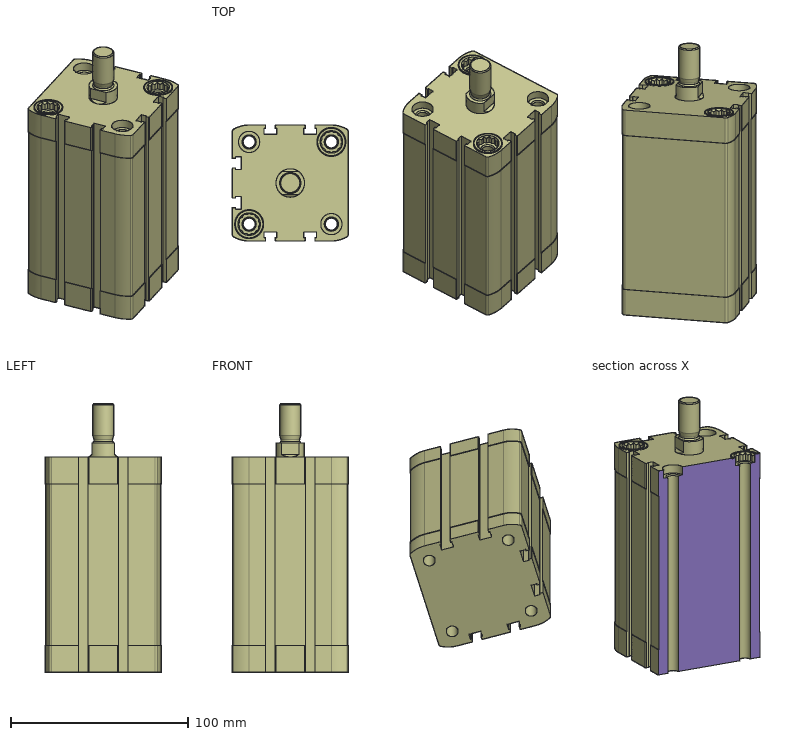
import cadquery as cq
import math


width = 65.5
housing_height = 121.4
cap_height = 15.1
tube_inset = 0.3
corner_radius = 17.9
corner_blend_radius = 1.7

slot_offset = 11.2
slot_depth = 5.1
slot_width = 7.0
slot_mouth_width = 5.5
slot_lip = 2.0
pad_chamfer = 0.5

hole_offset = 23.2
hole_diameter = 6.7
hole_mouth_diameter = 8.0
countersink_depth = (hole_mouth_diameter - hole_diameter) / 2
counterbore_diameter = 12.0
recess_depth = 4.8

collar_diameter = 16.4
collar_rim_diameter = 15.5
socket_mouth_diameter = 12.7
socket_mouth_depth = 1.8
socket_flats = 10.6

total_height = 151.4
rod_diameter = 16.0
rod_shoulder_height = 7.9
wrench_flats = 12.7
flat_runout = 1.4
thread_diameter = 12.0
thread_length = 17.9
tip_chamfer = 0.6
neck_diameter = 10.6
neck_base_height = 0.9
neck_height = 0.9
rod_bore_depth = cap_height


def cone_frustum(top_z, top_diameter, bottom_diameter, height):
    """Round body about the Z axis that reaches down from top_z."""
    bottom_centre = cq.Vector(0, 0, top_z - height)
    cone = cq.Solid.makeCone(bottom_diameter / 2, top_diameter / 2, height, bottom_centre)
    return cq.Workplane("XY").add(cone)


def square_block(inset, bottom_z, height):
    """Square prism whose +Y and -Y faces curve away towards the corners."""
    half = width / 2 - inset
    radius = corner_radius - inset
    arc_centre_y = width / 2 - corner_radius

    def arc_point(x):
        return x, arc_centre_y + math.sqrt(radius**2 - (x - hole_offset) ** 2)

    mid_x, mid_y = arc_point((hole_offset + half) / 2)
    end_x, end_y = arc_point(half)
    block = (
        cq.Workplane("XY")
        .workplane(offset=bottom_z)
        .moveTo(-hole_offset, half)
        .lineTo(hole_offset, half)
        .threePointArc((mid_x, mid_y), (end_x, end_y))
        .lineTo(end_x, -end_y)
        .threePointArc((mid_x, -mid_y), (hole_offset, -half))
        .lineTo(-hole_offset, -half)
        .threePointArc((-mid_x, -mid_y), (-end_x, -end_y))
        .lineTo(-end_x, end_y)
        .threePointArc((-mid_x, mid_y), (-hole_offset, half))
        .close()
        .extrude(height)
    )
    side_faces = block.faces("<X or >X")
    return side_faces.edges("|Z").fillet(corner_blend_radius - inset)


def slot_cutter():
    """Full-height T-shaped cutter for one slot in the +X face, centred on y = 0."""
    floor_x = width / 2 - slot_depth
    mouth = cq.Workplane("XY").box(
        slot_depth, slot_mouth_width, housing_height, centered=(False, True, False)
    )
    undercut = cq.Workplane("XY").box(
        slot_depth - slot_lip, slot_width, housing_height, centered=(False, True, False)
    )
    return mouth.union(undercut).translate((floor_x, 0, 0))


def pad_chamfer_cutter(bottom_z):
    """Triangular prism for the +Y edge of an end cap's middle pad in the +X face."""
    pad_edge_y = slot_offset - slot_mouth_width / 2
    return (
        cq.Workplane("XY")
        .workplane(offset=bottom_z)
        .moveTo(width / 2, pad_edge_y)
        .lineTo(width / 2 - pad_chamfer, pad_edge_y)
        .lineTo(width / 2, pad_edge_y - pad_chamfer)
        .close()
        .extrude(cap_height)
    )


def plain_corner_cutter():
    """Counterbored through hole with a countersunk mouth, on the Z axis."""
    floor_z = housing_height - recess_depth
    hole = cq.Workplane("XY").circle(hole_diameter / 2).extrude(housing_height)
    countersink = cone_frustum(floor_z, hole_mouth_diameter, hole_diameter, countersink_depth)
    counterbore = cq.Workplane("XY").workplane(offset=floor_z)
    counterbore = counterbore.circle(counterbore_diameter / 2).extrude(recess_depth)
    return hole.union(countersink).union(counterbore)


def collar_corner_cutter():
    """Through hole under a twelve-point socket, with a V groove around the collar, on the Z axis."""
    floor_z = housing_height - recess_depth
    groove_depth = (collar_diameter - collar_rim_diameter) / 2

    cutter = cq.Workplane("XY").circle(hole_diameter / 2).extrude(housing_height)
    cutter = cutter.union(cone_frustum(floor_z, hole_mouth_diameter, hole_diameter, countersink_depth))
    cutter = cutter.union(cone_frustum(housing_height, socket_mouth_diameter, socket_flats, socket_mouth_depth))
    corner_diameter = socket_flats / math.cos(math.radians(30))
    hexagon = cq.Workplane("XY").workplane(offset=floor_z).polygon(6, corner_diameter)
    hexagon = hexagon.extrude(recess_depth)
    for turn in (0, 30):
        cutter = cutter.union(hexagon.rotate((0, 0, 0), (0, 0, 1), turn))

    groove = cq.Workplane("XY").workplane(offset=housing_height - groove_depth)
    groove = groove.circle(collar_diameter / 2).extrude(groove_depth)
    groove = groove.cut(cone_frustum(housing_height, collar_rim_diameter, collar_diameter, groove_depth))
    return cutter.union(groove)


def make_housing():
    tube_height = housing_height - 2 * cap_height
    housing = square_block(0, 0, cap_height)
    housing = housing.union(square_block(tube_inset, cap_height, tube_height))
    housing = housing.union(square_block(0, housing_height - cap_height, cap_height))

    for face_angle in (90, 180, 270):
        for offset in (-slot_offset, slot_offset):
            slot = slot_cutter().translate((0, offset, 0))
            housing = housing.cut(slot.rotate((0, 0, 0), (0, 0, 1), face_angle))

    for face_angle in (90, 180, 270):
        for bottom_z in (0, housing_height - cap_height):
            chamfer = pad_chamfer_cutter(bottom_z)
            for cutter in (chamfer, chamfer.mirror("XZ")):
                housing = housing.cut(cutter.rotate((0, 0, 0), (0, 0, 1), face_angle))

    for x_side in (-1, 1):
        for y_side in (-1, 1):
            cutter = collar_corner_cutter() if x_side == y_side else plain_corner_cutter()
            housing = housing.cut(cutter.translate((x_side * hole_offset, y_side * hole_offset, 0)))

    rod_bore = (
        cq.Workplane("XY")
        .workplane(offset=housing_height - rod_bore_depth)
        .circle(rod_diameter / 2)
        .extrude(rod_bore_depth)
    )
    return housing.cut(rod_bore)


def make_rod():
    shoulder_z = housing_height + rod_shoulder_height
    neck_bottom_z = shoulder_z + neck_base_height
    neck_top_z = neck_bottom_z + neck_height
    rod = (
        cq.Workplane("XZ")
        .moveTo(0, housing_height - rod_bore_depth)
        .lineTo(rod_diameter / 2, housing_height - rod_bore_depth)
        .lineTo(rod_diameter / 2, shoulder_z)
        .lineTo(thread_diameter / 2, shoulder_z)
        .lineTo(neck_diameter / 2, neck_bottom_z)
        .lineTo(neck_diameter / 2, neck_top_z)
        .lineTo(thread_diameter / 2, total_height - thread_length)
        .lineTo(thread_diameter / 2, total_height - tip_chamfer)
        .lineTo(thread_diameter / 2 - tip_chamfer, total_height)
        .lineTo(0, total_height)
        .close()
        .revolve(360, (0, 0, 0), (0, 1, 0))
    )

    flat_cutter = (
        cq.Workplane("YZ")
        .moveTo(wrench_flats / 2, shoulder_z)
        .lineTo(wrench_flats / 2, housing_height + flat_runout)
        .lineTo(rod_diameter / 2, housing_height)
        .lineTo(rod_diameter / 2, shoulder_z)
        .close()
        .extrude(rod_diameter / 2, both=True)
    )
    return rod.cut(flat_cutter).cut(flat_cutter.mirror("XZ"))


housing = make_housing()
rod = make_rod()
result = cq.Compound.makeCompound([housing.val(), rod.val()])